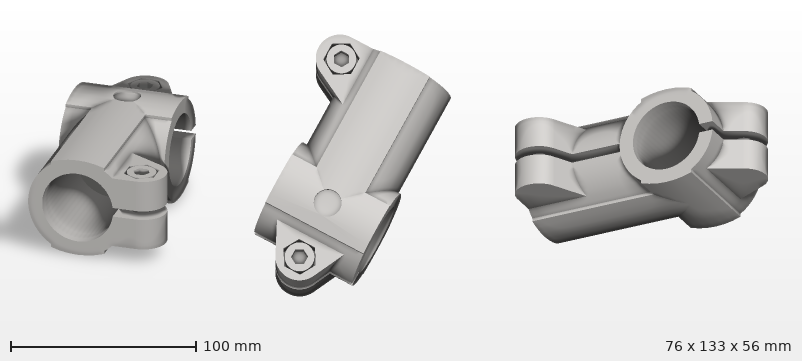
import cadquery as cq
import math

overall_length = 133.0
tube_diameter = 56.0
bore_diameter = 40.0
cross_length = 60.0
leg_length = 88.0
tube_radius = tube_diameter / 2
bore_radius = bore_diameter / 2
cross_half_length = cross_length / 2

pad_width = 30.0
pad_crown_radius = 45.0

lug_thickness = 40.0
lug_end_radius = 13.0
slit_width = 5.0
cross_lug_reach = overall_length - leg_length - lug_end_radius
leg_lug_reach = 33.0
leg_lug_y = lug_end_radius - leg_length
leg_lug_flank_half_width = 32.0

leg_screw_reach = 32.0
shank_diameter = 10.0
head_diameter = 16.0
pocket_across_flats = 17.0
pocket_depth = 10.0
socket_across_flats = 8.0
socket_depth = 5.0

mark_diameter = 15.0
mark_depth = 1.5


def box_between(x_range, y_range, z_range):
    size = [high - low for low, high in (x_range, y_range, z_range)]
    corner = (x_range[0], y_range[0], z_range[0])
    return cq.Workplane("XY").box(*size, centered=False).translate(corner)


def across_corners(across_flats):
    """Distance across the corners of a hexagon."""
    return across_flats / math.cos(math.radians(30))


def padded_tube(length):
    """Solid round bar from the origin along -Y, with crowned pads above and below."""
    crown_drop = pad_crown_radius - math.sqrt(pad_crown_radius**2 - (pad_width / 2) ** 2)
    shoulder_z = tube_radius - crown_drop
    half_pad = pad_width / 2
    pads = (
        cq.Workplane("XZ")
        .moveTo(-half_pad, -shoulder_z)
        .threePointArc((0, -tube_radius), (half_pad, -shoulder_z))
        .lineTo(half_pad, shoulder_z)
        .threePointArc((0, tube_radius), (-half_pad, shoulder_z))
        .close()
        .extrude(length)
    )
    return cq.Workplane("XZ").circle(tube_radius).extrude(length).union(pads)


def lug(reach, flank_half_width, square_side=False):
    """Lug pointing along +Y from the tube axis, with flanks tangent to its round end.

    Both flanks taper, unless square_side makes the +X flank parallel to the lug.
    """
    flank_angle = math.acos(lug_end_radius / math.hypot(flank_half_width, reach)) - math.atan2(
        reach, flank_half_width
    )
    tangent_x = lug_end_radius * math.cos(flank_angle)
    tangent_y = reach + lug_end_radius * math.sin(flank_angle)
    if square_side:
        right_base = (lug_end_radius, 0)
        right_tangent = (lug_end_radius, reach)
    else:
        right_base = (flank_half_width, 0)
        right_tangent = (tangent_x, tangent_y)
    return (
        cq.Workplane("XY")
        .moveTo(-flank_half_width, 0)
        .lineTo(*right_base)
        .lineTo(*right_tangent)
        .threePointArc((0, reach + lug_end_radius), (-tangent_x, tangent_y))
        .close()
        .extrude(lug_thickness / 2, both=True)
    )


def screw_pocket(reach):
    """Hexagonal recess in the top face of a lug."""
    return (
        cq.Workplane("XY", origin=(0, reach, lug_thickness / 2))
        .polygon(6, across_corners(pocket_across_flats))
        .extrude(-pocket_depth)
    )


def screw(reach):
    """Socket-head screw, its head flush with the lug and its shank bridging the slit."""
    top = cq.Workplane("XY", origin=(0, reach, lug_thickness / 2))
    head = top.circle(head_diameter / 2).extrude(-pocket_depth)
    shank = top.circle(shank_diameter / 2).extrude(-lug_thickness)
    socket = (
        top.transformed(rotate=(0, 0, 90))
        .polygon(6, across_corners(socket_across_flats))
        .extrude(-socket_depth)
    )
    return head.union(shank).cut(socket)


def on_leg(shape):
    """Turn a +Y clamp feature to point along +X at the free end of the leg."""
    return shape.rotate((0, 0, 0), (0, 0, 1), -90).translate((0, leg_lug_y, 0))


cross_tube = (
    padded_tube(cross_length)
    .rotate((0, 0, 0), (0, 0, 1), 90)
    .translate((-cross_half_length, 0, 0))
)
leg_tube = padded_tube(leg_length)
body = cross_tube.union(leg_tube)

body = body.union(lug(cross_lug_reach, cross_half_length))
body = body.union(on_leg(lug(leg_lug_reach, leg_lug_flank_half_width, square_side=True)))

cross_bore = cq.Workplane("YZ").circle(bore_radius).extrude(cross_half_length, both=True)
leg_bore = (
    cq.Workplane("XZ", origin=(0, -tube_radius, 0))
    .circle(bore_radius)
    .extrude(leg_length - tube_radius)
)
body = body.cut(cross_bore).cut(leg_bore)

slit_z = (-slit_width / 2, slit_width / 2)
cross_slit = box_between(
    (-cross_half_length, cross_half_length),
    (0, cross_lug_reach + lug_end_radius),
    slit_z,
)
leg_slit = box_between(
    (0, leg_lug_reach + lug_end_radius),
    (-leg_length, -tube_radius),
    slit_z,
)
body = body.cut(cross_slit).cut(leg_slit)

mark = cq.Workplane("XY", origin=(0, 0, tube_radius)).circle(mark_diameter / 2).extrude(-mark_depth)
body = body.cut(mark)

body = body.cut(screw_pocket(cross_lug_reach)).cut(on_leg(screw_pocket(leg_screw_reach)))
body = body.union(screw(cross_lug_reach)).union(on_leg(screw(leg_screw_reach)))

result = body